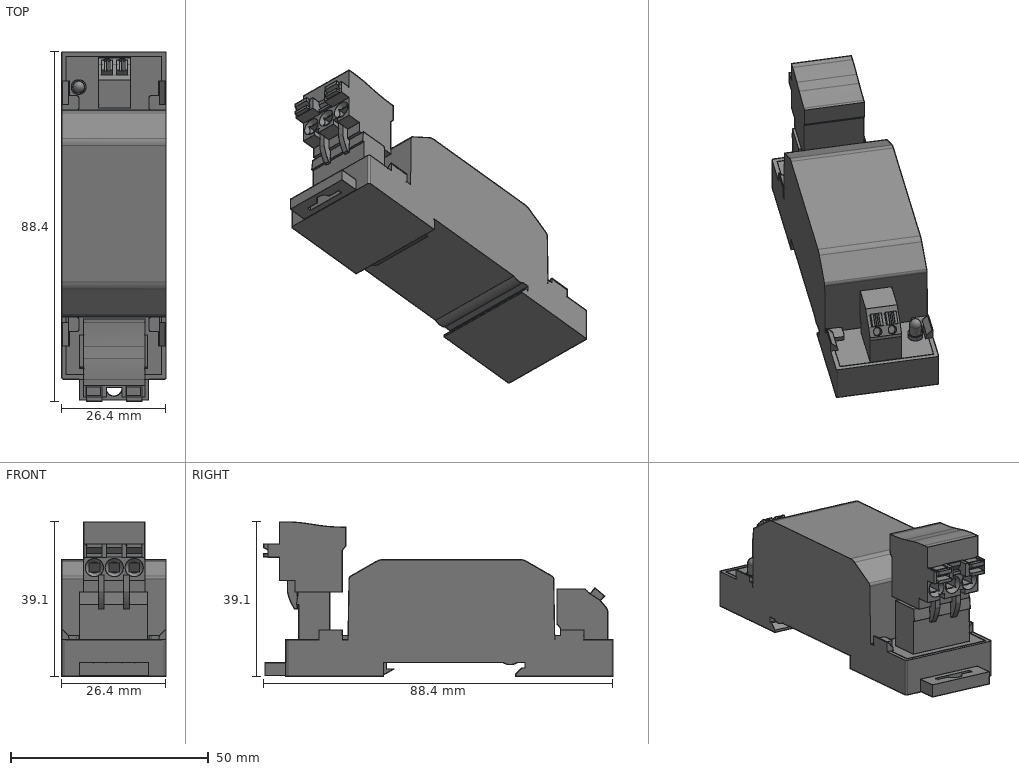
import cadquery as cq
import math


overlap = 0.9

width = 26.4
overall_length = 88.4
length = 82.85
base_top = 9.3
rail_top = 3.45
case_front = 15.7
case_back = 68.1
case_top = 29.5
case_draft = 0.3
slope_run = 7.7
slope_rise = slope_run * math.tan(math.radians(30))
roof_radius = 3.5
eave_radius = 0.9
front_corner_radius = 0.5
back_corner_radius = 0.3

rail_front = 24.8
rail_back = 60.5
rail_lip = 58.2
rail_lip_height = 0.6
rail_lip_top = 2.1
bump_y = 56.8
bump_half_length = 1.8
bump_depth = 0.5

rim = 1.15
rim_recess = 0.1

ear_length = 5.9
ear_gap = 1.4
ear_top = 11.8
ear_edge = 0.3
ear_shoulder = 1.7
ear_foot = 1.95
pad_top = 10.35
pad_reach = 4.3
pad_length = 3.7
pad_radius = 0.6

lamp_x = -8.9
lamp_y = 73.9
lamp_radius = 1.5
lamp_shoulder = 13.1
lamp_ring_radius = 1.9

terminal_x = 0.2
terminal_width = 8.1
terminal_front = 68.6
terminal_back = 81.5
terminal_top = 22.1
terminal_top_back = 75.7
terminal_shoulder = 16.45
terminal_heel_y = 69.5
terminal_heel_z = 12.1
terminal_heel_top = 13.3

face_low = (81.3, 17.15)
face_middle = (79.6, 19.2)
face_high = (77.0, 20.9)
key_back = (80.7, 20.25)
key_front = (78.25, 22.4)
key_root = (77.8, 19.8)

terminal_pitch = 3.8
key_width = 2.7
key_groove_width = 0.4
key_groove_depth = 0.4
key_groove_offset = 0.4
entry_diameter = 2.1
entry_depth = 2.65

plug_x = 0.1
plug_width = 15.5
plug_front = -1.6
plug_back = 15.2
plug_waist = 14.3
plug_waist_z = 31.8
plug_head_z = 33.0
plug_bottom = 21.3
plug_step_y = 2.3
plug_step_z = 24.2
plug_top = 39.1
plug_top_back = 37.75
wave_start = 14.4
wave_rise = 8.3
wave_fall = 5.3
wave_end = 0.0
socket_x = -0.1
socket_width = 17.2
socket_front = 3.3
socket_back = 11.1
socket_lip_z = 18.1
socket_lip_y = 2.7
socket_lip_lean = 0.35

pole_pitch = 5.0
hole_z = 27.5
hole_diameter = 4.6
hole_cone_depth = 1.1
hole_throat_width = 2.7
hole_throat_height = 2.3
hole_depth = 5.3
hole_floor_rise = 1.95

guard_bottom = 30.1
guard_top = 33.5
guard_front = -4.5
guard_inner = 1.95
lever_width = 3.9
lever_bottom = 30.2
lever_front = length - overall_length
lever_slot_bottom = 31.0
lever_slot_top = 32.5
lever_slot_depth = 2.65
middle_slot_depth = 1.1
clearance = 0.35
thin_clearance = 0.2
clearance_depth = 0.4
middle_lever_front = -2.1

latch_width = 1.4
latch_pitch = 6.4
latch_top = 25.6
latch_front = 0.4
latch_back = 2.7
latch_hook_back = 2.9
latch_hook_middle = (1.15, 19.0)
latch_hook_tip = (2.2, 17.1)

foot_width = 17.5
foot_front = -5.3
foot_bottom = 0.2
foot_slot_width = 10.4
foot_slot_back = -1.6
foot_slot_front = -2.65
foot_bulge_y = -2.2
foot_bulge_radius = 2.0
hook_tip = 27.4
hook_tip_z = 1.9
hook_foot_z = 0.35
hook_stem = 25.55


def box(x0, x1, y0, y1, z0, z1):
    return cq.Workplane("XY").box(x1 - x0, y1 - y0, z1 - z0, centered=False).translate((x0, y0, z0))


def across(sketch, x_middle, span):
    """Extrude a closed (Y, Z) outline along X, centred on x_middle."""
    return sketch.extrude(span / 2, both=True).translate((x_middle, 0, 0))


def plate(points, x_middle, span):
    return across(cq.Workplane("YZ").polyline(points).close(), x_middle, span)


def round_edge(body, y, z, radius):
    """Fillet the edge running along X through (y, z)."""
    reach = 0.04
    picker = cq.selectors.BoxSelector((-reach, y - reach, z - reach), (reach, y + reach, z + reach))
    return body.edges(picker).fillet(radius)


def housing():
    eave = case_top - slope_rise
    front_wall = case_front + case_draft
    back_wall = case_back - case_draft
    outline = (
        cq.Workplane("YZ")
        .moveTo(0, 0)
        .lineTo(rail_front, 0)
        .lineTo(rail_front, rail_top)
        .lineTo(bump_y - bump_half_length, rail_top)
        .threePointArc((bump_y, rail_top - bump_depth), (bump_y + bump_half_length, rail_top))
        .lineTo(rail_back, rail_top)
        .lineTo(rail_back, rail_lip_top)
        .lineTo(rail_lip + rail_lip_top - rail_lip_height, rail_lip_top)
        .lineTo(rail_lip, rail_lip_height)
        .lineTo(rail_lip, 0)
        .lineTo(length, 0)
        .lineTo(length, base_top)
        .lineTo(case_back, base_top)
        .lineTo(back_wall, eave)
        .lineTo(back_wall - slope_run, case_top)
        .lineTo(front_wall + slope_run, case_top)
        .lineTo(front_wall, eave)
        .lineTo(case_front, base_top)
        .lineTo(0, base_top)
        .close()
    )
    body = across(outline, 0, width)
    for wall, inward in ((front_wall, 1), (back_wall, -1)):
        body = round_edge(body, wall, eave, eave_radius)
        body = round_edge(body, wall + inward * slope_run, case_top, roof_radius)
    body = body.edges("|Z and <Y").fillet(front_corner_radius)
    body = body.edges("|Z and >Y").fillet(back_corner_radius)
    for y0, y1 in ((rim, case_front), (case_back, length - rim)):
        half = width / 2 - rim
        body = body.cut(box(-half, half, y0, y1, base_top - rim_recess, base_top + overlap))
    return body


def ear(y0):
    """Wedge on the -X edge of the base, sloping down toward the middle."""
    edge = -width / 2
    floor = base_top - overlap
    points = [
        (edge, floor),
        (edge, ear_top),
        (edge + ear_edge, ear_top),
        (edge + ear_shoulder, pad_top),
        (edge + ear_foot, base_top - rim_recess),
        (edge + ear_foot, floor),
    ]
    return cq.Workplane("XZ").polyline(points).close().extrude(-ear_length).translate((0, y0, 0))


def pad(x_outer, y0, y1):
    """Corner pad beside the case; its two inner corners are rounded."""
    block = box(x_outer, pad_reach - width / 2, y0, y1, base_top - overlap, pad_top)
    return block.edges("|Z and >X").fillet(pad_radius)


def side_fittings():
    edge = -width / 2
    front = ear(case_front - ear_gap - ear_length)
    front = front.union(pad(edge + ear_shoulder, case_front - pad_length, case_front))
    back = ear(case_back + ear_gap).union(pad(edge, case_back, case_back + pad_length))
    left = front.union(back)
    return left.union(left.mirror("YZ"))


def lamp():
    floor = base_top - overlap
    bulb = (
        cq.Workplane("XY", origin=(lamp_x, lamp_y, floor))
        .circle(lamp_radius)
        .extrude(lamp_shoulder - floor)
    )
    dome = cq.Workplane("XY", origin=(lamp_x, lamp_y, lamp_shoulder)).sphere(lamp_radius)
    ring = (
        cq.Workplane("XY", origin=(lamp_x, lamp_y, floor))
        .circle(lamp_ring_radius)
        .extrude(pad_top - floor)
    )
    return bulb.union(dome).union(ring)


def rear_terminal():
    body = plate(
        [
            (terminal_back, base_top - overlap),
            (terminal_back, terminal_shoulder),
            face_low,
            face_middle,
            face_high,
            (terminal_top_back, terminal_top),
            (terminal_front, terminal_top),
            (terminal_front, terminal_heel_top),
            (terminal_heel_y, terminal_heel_z),
            (terminal_heel_y, base_top - overlap),
        ],
        terminal_x,
        terminal_width,
    )
    key_outline = [face_middle, key_back, key_front, face_high, key_root]
    key_length = math.hypot(key_back[0] - key_front[0], key_front[1] - key_back[1])
    key_tilt = -math.degrees(math.atan2(key_front[1] - key_back[1], key_back[0] - key_front[0]))
    key_middle = ((key_back[0] + key_front[0]) / 2, (key_back[1] + key_front[1]) / 2)
    entry_y = (face_low[0] + face_middle[0]) / 2
    entry_z = (face_low[1] + face_middle[1]) / 2
    face_normal = (0, face_middle[1] - face_low[1], face_low[0] - face_middle[0])
    for side in (-1, 1):
        x = terminal_x + side * terminal_pitch / 2
        body = body.union(plate(key_outline, x, key_width))
        for offset in (-key_groove_offset, key_groove_offset):
            groove = (
                cq.Workplane("XY")
                .box(key_groove_width, key_length + overlap, 2 * key_groove_depth)
                .rotate((0, 0, 0), (1, 0, 0), key_tilt)
                .translate((x + offset, *key_middle))
            )
            body = body.cut(groove)
        entry_plane = cq.Plane(origin=(x, entry_y, entry_z), xDir=(1, 0, 0), normal=face_normal)
        body = body.cut(cq.Workplane(entry_plane).circle(entry_diameter / 2).extrude(-entry_depth))
    return body


def plug_body():
    ramp_length = wave_rise - wave_fall
    hollow_length = wave_start - wave_rise
    crown_length = wave_fall - wave_end
    ramp_slope = (plug_top - plug_top_back) / (ramp_length + (hollow_length + crown_length) / 2)
    ramp_low = plug_top_back + ramp_slope * hollow_length / 2
    ramp_high = ramp_low + ramp_slope * ramp_length
    outline = (
        cq.Workplane("YZ")
        .moveTo(plug_step_y, plug_bottom)
        .lineTo(plug_waist, plug_bottom)
        .lineTo(plug_waist, plug_waist_z)
        .lineTo(plug_back, plug_head_z)
        .lineTo(plug_back, plug_top_back)
        .lineTo(wave_start, plug_top_back)
        .tangentArcPoint((wave_rise, ramp_low), relative=False)
        .lineTo(wave_fall, ramp_high)
        .tangentArcPoint((wave_end, plug_top), relative=False)
        .lineTo(plug_front, plug_top)
        .lineTo(plug_front, plug_step_z)
        .lineTo(plug_step_y, plug_step_z)
        .close()
    )
    return across(outline, plug_x, plug_width)


def socket():
    return plate(
        [
            (socket_front, base_top - overlap),
            (socket_front, socket_lip_z),
            (socket_lip_y, socket_lip_z),
            (socket_lip_y + socket_lip_lean, plug_bottom),
            (socket_back, plug_bottom),
            (socket_back, base_top - overlap),
        ],
        socket_x,
        socket_width,
    )


def wire_hole(x):
    """Round funnel leading into a rectangular throat with a slanting end."""
    mouth = cq.Workplane("XZ", origin=(x, plug_front, hole_z))
    taper = math.degrees(math.atan((hole_diameter - hole_throat_width) / 2 / hole_cone_depth))
    funnel = mouth.circle(hole_diameter / 2).extrude(-hole_cone_depth, taper=taper)
    throat_low = hole_z - hole_throat_height / 2
    throat_high = hole_z + hole_throat_height / 2
    throat_end = plug_front + hole_depth
    throat = plate(
        [
            (plug_front, throat_low),
            (throat_end, throat_low),
            (throat_end - hole_floor_rise, throat_high),
            (plug_front, throat_high),
        ],
        x,
        hole_throat_width,
    )
    return funnel.union(throat)


def lever(x, tip):
    half = lever_width / 2
    return box(x - half, x + half, tip, plug_front + overlap, lever_bottom, guard_top)


def lever_slot(x, tip, depth):
    """Wedge cut across the lever tip; its roof slants down toward the back."""
    points = [(tip, lever_slot_bottom), (tip + depth, lever_slot_bottom), (tip, lever_slot_top)]
    return plate(points, x, lever_width)


def lever_clearance(x):
    """Shallow groove in the guard top, framing the lever."""
    half = lever_width / 2
    floor = guard_top - clearance_depth
    frame = box(x - half - thin_clearance, x + half, guard_front, plug_front, floor, guard_top)
    island = box(
        x - half,
        x + half - clearance,
        guard_front + clearance,
        plug_front - clearance,
        floor,
        guard_top,
    )
    return frame.cut(island)


def latch(x):
    outline = (
        cq.Workplane("YZ")
        .moveTo(latch_back, latch_top)
        .lineTo(latch_front, latch_top)
        .lineTo(latch_front, plug_bottom)
        .threePointArc(latch_hook_middle, latch_hook_tip)
        .lineTo(latch_hook_back, latch_hook_tip[1])
        .lineTo(latch_hook_back, plug_bottom)
        .lineTo(latch_back, plug_bottom)
        .close()
    )
    return across(outline, x, latch_width)


def front_connector():
    body = plug_body()
    half = plug_width / 2
    for side in (-1, 1):
        inner, outer = sorted((side * guard_inner, side * half))
        guard = box(inner, outer, guard_front, plug_front + overlap, guard_bottom, guard_top)
        body = body.union(guard.translate((plug_x, 0, 0)))
        lever_x = plug_x + side * pole_pitch
        body = body.union(lever(lever_x, lever_front)).cut(lever_clearance(lever_x))
        body = body.cut(lever_slot(lever_x, lever_front, lever_slot_depth))
    body = body.union(lever(plug_x, middle_lever_front))
    body = body.cut(lever_slot(plug_x, middle_lever_front, middle_slot_depth))
    for pole in (-1, 0, 1):
        body = body.cut(wire_hole(plug_x + pole * pole_pitch))
    for side in (-1, 1):
        x = side * latch_pitch / 2
        half_latch = latch_width / 2
        channel = box(x - half_latch, x + half_latch, plug_front, plug_step_y, plug_step_z, latch_top)
        body = body.cut(channel).union(latch(x))
    return body.union(socket())


def rail_foot():
    half = foot_width / 2
    foot = box(-half, half, foot_front, overlap, foot_bottom, rail_top)
    slot_half = foot_slot_width / 2
    foot = foot.cut(box(-slot_half, slot_half, foot_slot_front, foot_slot_back, 0, base_top))
    bulge = cq.Workplane("XY").circle(foot_bulge_radius).extrude(base_top)
    bulge = bulge.intersect(box(-half, half, -half, 0, 0, base_top))
    foot = foot.cut(bulge.translate((0, foot_bulge_y, 0)))
    hook = plate(
        [
            (rail_front - overlap, hook_foot_z),
            (rail_front, hook_foot_z),
            (hook_tip, hook_tip_z),
            (hook_stem, hook_tip_z),
            (hook_stem, rail_top + overlap),
            (rail_front - overlap, rail_top + overlap),
        ],
        0,
        foot_width,
    )
    return foot.union(hook)


result = housing()
for part in (side_fittings(), lamp(), rear_terminal(), front_connector(), rail_foot()):
    result = result.union(part)